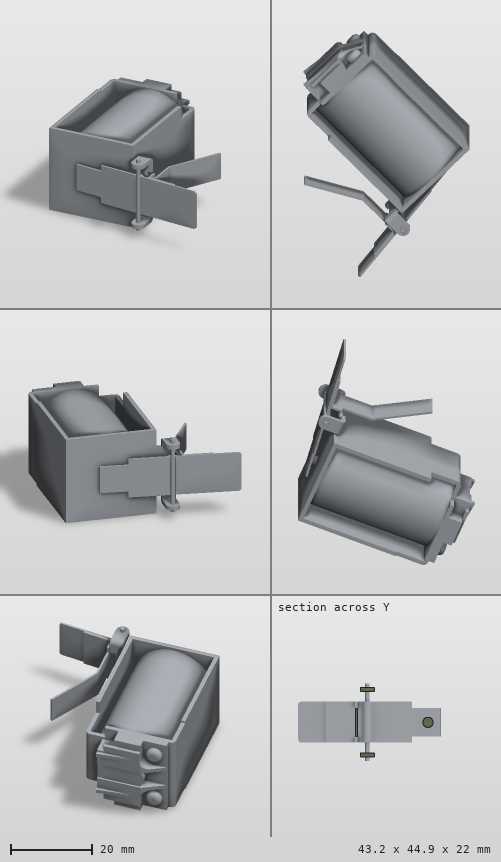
import cadquery as cq
import math


frame_width = 23.1
frame_depth = 33.9
frame_height = 22.0
wall = 1.05
inner_corner_radius = 0.22
outer_corner_radius = inner_corner_radius + wall
tall_depth = 25.85
rear_height = 20.9
low_height = 14.8
low_start_x = 17.95

coil_radius = 10.28
coil_x = 11.5

block_left = 1.55
block_step_x = 7.65
block_right = 14.45
block_base_rise = 1.45
block_base_y = frame_depth + block_base_rise
block_shoulder_y = 37.45
block_top_y = 38.3
rail_half_height = 8.53
rail_right = 16.8
contact_right = 18.55
contact_half_height = 6.8
fin_start_x = 9.85
fin_tip_y = 39.2
fin_outer_z = 6.33
fin_thickness = 1.0
ramp_end_x = 7.22
pocket_z = 3.4
pocket_corner_radius = 2.65
groove_half_height = 2.35
post_radius = 3.6
post_front_x = 6.75
post_top_y = 37.85

screw_x = 4.58
screw_z = 7.0
screw_radius = 2.0
screw_head_height = 1.65
screw_head_rounding = 1.08

neck_half_height = 6.4
bracket_left = 24.5
ear_radius = 1.75
ear_thickness = 1.08
bracket_half_height = 8.55
bend_inner_radius = 0.2
pin_x = bracket_left + ear_radius
pin_y = -3.5
pin_radius = 0.55
pin_half_length = 9.45
notch_left = 26.5
notch_half_height = 4.85

lever_angle = 6.9
lever_length = 35.1
lever_thickness = 0.55
lever_left = 8.25
lever_left_y = -1.45
lever_half_height = 5.03
tip_half_height = 3.45
tip_length = 7.15
lever_corner_radius = 0.75
pin_groove_width = 1.4
pin_groove_depth = 0.2
hump_radius = pin_groove_width / 2 + lever_thickness
hump_blend_radius = 0.9

blade_x = 28.7
blade_thickness = 0.55
blade_foot_end_x = 36.35
blade_half_height = tip_half_height
blade_shoulder_y = -0.35
blade_bend_y = 7.7
blade_lean = 30.0
blade_arm_length = 15.0

button_radius = 1.3
button_straight_length = 0.55
button_cone_length = 0.75
button_cone_angle = 12.0


def box(x0, x1, y0, y1, z0, z1):
    """Box between two corners."""
    return cq.Workplane("XY").box(x1 - x0, y1 - y0, z1 - z0, centered=False).translate((x0, y0, z0))


def slab(x0, x1, y0, y1, half_height):
    """Box centred on the mid plane."""
    return box(x0, x1, y0, y1, -half_height, half_height)


def prism(points, z0, z1):
    """Outline in X and Y, extruded from z0 to z1."""
    return cq.Workplane("XY").workplane(offset=z0).polyline(points).close().extrude(z1 - z0)


def post(x, y0, z, radius, length):
    """Cylinder along +Y starting at y0."""
    return cq.Workplane("XZ", origin=(x, y0, z)).circle(radius).extrude(-length)


def mirrored(shape):
    """Shape together with its mirror image below the mid plane."""
    return shape.union(shape.mirror("XY"))


def make_frame():
    outer = slab(0, frame_width, 0, frame_depth, frame_height / 2)
    outer = outer.edges("|Z and >Y").fillet(outer_corner_radius)
    cavity = slab(wall, frame_width - wall, wall, frame_depth - wall, frame_height / 2)
    cavity = cavity.edges("|Z and >Y").fillet(inner_corner_radius)
    rear_cut = box(0, frame_width, tall_depth, frame_depth, rear_height / 2, frame_height / 2)
    low_cut = box(low_start_x, frame_width, tall_depth, frame_depth, low_height / 2, frame_height / 2)
    return outer.cut(cavity).cut(mirrored(rear_cut)).cut(mirrored(low_cut))


def make_terminal_block():
    half_height = rear_height / 2
    inside_y = frame_depth - wall
    base = slab(block_left, block_right, inside_y, block_base_y, half_height)
    body = slab(block_step_x, block_right, inside_y, block_shoulder_y, half_height)
    rail = slab(block_step_x, rail_right, block_shoulder_y, block_top_y, rail_half_height)
    contacts = slab(block_right, contact_right, inside_y, block_top_y, contact_half_height)

    ramp_half_height = pocket_z + pocket_corner_radius
    ramp = prism(
        [
            (block_left, block_base_y),
            (ramp_end_x, block_top_y),
            (block_step_x, block_top_y),
            (block_step_x, block_base_y),
        ],
        -ramp_half_height,
        ramp_half_height,
    )
    pocket = box(block_left, block_step_x, block_base_y, block_top_y, pocket_z, half_height)
    pocket = pocket.edges("|Y and >X and <Z").fillet(pocket_corner_radius)
    ramp = ramp.cut(mirrored(pocket))

    front_groove = slab(block_left, block_step_x, block_base_y, block_top_y, groove_half_height)
    top_groove = slab(block_left, contact_right, post_top_y, block_top_y, groove_half_height)
    post_height = post_top_y - block_base_y
    round_post = post(post_front_x + post_radius, block_base_y, 0, post_radius, post_height)
    round_post = round_post.intersect(
        slab(post_front_x, block_right, block_base_y, post_top_y, groove_half_height)
    )

    fin = prism(
        [(fin_start_x, block_top_y), (contact_right, fin_tip_y), (contact_right, block_top_y)],
        fin_outer_z - fin_thickness,
        fin_outer_z,
    )
    screw = post(screw_x, block_base_y, screw_z, screw_radius, screw_head_height)
    screw = screw.faces(">Y").edges().fillet(screw_head_rounding)

    block = base.union(body).union(rail).union(contacts).union(ramp.cut(front_groove))
    block = block.cut(top_groove).union(round_post)
    return block.union(mirrored(fin)).union(mirrored(screw))


def make_hinge():
    bracket_right = bracket_left + 2 * ear_radius
    neck = slab(frame_width - wall, bracket_left, 0, wall, neck_half_height)

    channel = slab(bracket_left, bracket_right, pin_y, wall, bracket_half_height)
    channel = channel.edges("|X and >Y").fillet(bend_inner_radius + ear_thickness)
    gap_half_height = bracket_half_height - ear_thickness
    gap = slab(bracket_left, bracket_right, pin_y, 0, gap_half_height)
    gap = gap.edges("|X and >Y").fillet(bend_inner_radius)
    notch = slab(notch_left, bracket_right, 0, wall, notch_half_height)
    ear_end = cq.Workplane("XY", origin=(pin_x, pin_y, gap_half_height)).circle(ear_radius)
    ear_end = ear_end.extrude(ear_thickness)
    pin = cq.Workplane("XY", origin=(pin_x, pin_y, -pin_half_length)).circle(pin_radius)
    pin = pin.extrude(2 * pin_half_length)
    return neck.union(channel.cut(gap).cut(notch)).union(mirrored(ear_end)).union(pin)


def make_lever():
    plate = slab(tip_length, lever_length, 0, lever_thickness, lever_half_height)
    plate = plate.edges("|Y and >X").fillet(lever_corner_radius)
    tip = slab(0, tip_length, 0, lever_thickness, tip_half_height)
    tilt = math.radians(lever_angle)
    pin_along = (pin_x - lever_left) * math.cos(tilt) - (pin_y - lever_left_y) * math.sin(tilt)
    pin_up = (pin_x - lever_left) * math.sin(tilt) + (pin_y - lever_left_y) * math.cos(tilt)
    foot_start = (blade_x - lever_left) / math.cos(tilt)
    foot_end = (blade_foot_end_x - lever_left) / math.cos(tilt)

    hump = cq.Workplane("XY", origin=(pin_along, pin_up, -lever_half_height)).circle(hump_radius)
    hump = hump.extrude(2 * lever_half_height)
    hump = hump.intersect(slab(tip_length, lever_length, 0, hump_radius + lever_thickness, lever_half_height))
    blend_zone = cq.selectors.BoxSelector(
        (pin_along - 2 * hump_radius, lever_thickness / 2, -lever_half_height),
        (pin_along + 2 * hump_radius, 3 * lever_thickness / 2, lever_half_height),
    )
    plate = plate.union(hump).edges(blend_zone).edges("|Z").fillet(hump_blend_radius)

    pin_groove = slab(
        pin_along - pin_groove_width / 2,
        pin_along + pin_groove_width / 2,
        0,
        pin_groove_depth,
        lever_half_height,
    )
    foot = slab(foot_start, foot_end, lever_thickness, lever_thickness + blade_thickness, lever_half_height)
    lever = plate.union(tip).cut(pin_groove).union(foot)
    return lever.rotate((0, 0, 0), (0, 0, 1), -lever_angle).translate((lever_left, lever_left_y, 0))


def make_blade():
    lean = math.radians(blade_lean)
    lever_drop = (blade_x - lever_left) * math.tan(math.radians(lever_angle))
    root_y = lever_left_y - lever_drop + lever_thickness / 2
    miter = blade_thickness * math.tan(lean / 2)
    reach_x = blade_arm_length * math.sin(lean)
    reach_y = blade_arm_length * math.cos(lean)
    right_x = blade_x + blade_thickness
    tip_x = blade_x + reach_x
    tip_y = blade_bend_y + reach_y
    blade = prism(
        [
            (blade_x, root_y),
            (blade_x, blade_bend_y),
            (tip_x, tip_y),
            (tip_x + blade_thickness * math.cos(lean), tip_y - blade_thickness * math.sin(lean)),
            (right_x, blade_bend_y - miter),
            (right_x, root_y),
        ],
        -blade_half_height,
        blade_half_height,
    )
    shoulder = slab(blade_x, right_x, root_y, blade_shoulder_y, lever_half_height)
    return blade.union(shoulder)


def make_button():
    button = cq.Workplane("XZ", origin=(coil_x, 0, 0)).circle(button_radius).extrude(button_straight_length)
    cone = cq.Workplane("XZ", origin=(coil_x, -button_straight_length, 0)).circle(button_radius)
    return button.union(cone.extrude(button_cone_length, taper=button_cone_angle))


coil = post(coil_x, wall, 0, coil_radius, frame_depth - 2 * wall)

result = make_frame().union(coil)
for piece in (make_terminal_block(), make_hinge(), make_lever(), make_blade(), make_button()):
    result = result.union(piece)